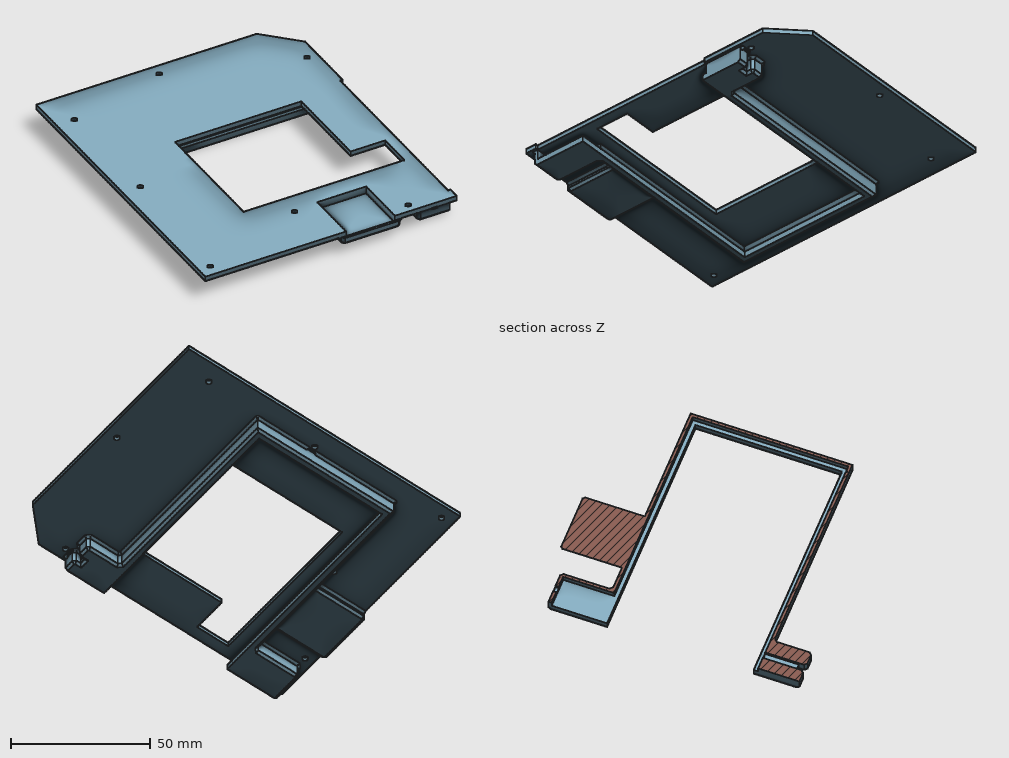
import cadquery as cq

plate_length = 123.9
plate_width = 103.5
sheet = 2.0
plate_corner = 12.7
notch_depth = 1.0
hole_diameter = 2.1
front_screw_x = 63.2
left_screw_y = 99.3
hole_centres = [
    (4.7, 48.0),
    (14.9, 7.4),
    (21.7, left_screw_y),
    (front_screw_x, 7.4),
    (103.9, 48.0),
    (119.0, 4.7),
    (120.3, 85.6),
]

window_left = 44.8
window_right = 95.1
window_front = 32.0
window_step_x = 81.0
window_step_y = 84.0
window_back = 98.2

bevel = 1.0
shell_height = 8.6
shell_back = plate_width - notch_depth
shell_wall = 1.4
main_left = 38.9
main_right = 101.0
main_front = 9.5
wing_left = 24.2
wing_right = 120.7
wing_front = 89.5
floor_rim = 3.0
floor_thickness = 2.5

recess_front = 95.3
recess_back = 97.6
recess_depth = 3.0
slit_top = 4.2
slit_height = 0.9

relief_width = 4.2
relief_height = 0.6

pocket_left = 102.8
pocket_front = 58.0
pocket_back = 78.1
pocket_depth = 3.0
box_height = 5.0
box_margin = 2.0
box_right = 124.9


def block(x_min, x_max, y_min, y_max, z_min, z_max):
    """Rectangular block given by its limits."""
    size = (x_max - x_min, y_max - y_min, z_max - z_min)
    return cq.Workplane("XY").box(*size, centered=False).translate((x_min, y_min, z_min))


def polygon(points):
    """Closed outline in the XY plane."""
    return cq.Workplane("XY").polyline(points).close()


def flare(points):
    """Bevelled skirt that widens the outline where it meets the plate."""
    skirt = polygon(points).extrude(bevel, taper=-45)
    return skirt.translate((0, 0, -sheet - bevel))


def raised_outline(points, height):
    """Outline extruded down from the plate, with its lower edges bevelled."""
    body = polygon(points).extrude(sheet - height).translate((0, 0, -sheet))
    return body.faces("<Z").chamfer(bevel)


def make_plate():
    outline = [
        (0, 0),
        (plate_length, 0),
        (plate_length, plate_width),
        (wing_right - shell_wall, plate_width),
        (wing_right - shell_wall, shell_back),
        (main_left + shell_wall, shell_back),
        (main_left + shell_wall, plate_width),
        (plate_corner, plate_width),
        (0, plate_width - plate_corner),
    ]
    window = [
        (window_left, window_front),
        (window_right, window_front),
        (window_right, window_back),
        (window_step_x, window_back),
        (window_step_x, window_step_y),
        (window_left, window_step_y),
    ]
    plate = polygon(outline).extrude(-sheet)
    plate = plate.cut(polygon(window).extrude(-sheet))
    holes = cq.Workplane("XY").pushPoints(hole_centres).circle(hole_diameter / 2).extrude(-sheet)
    return plate.cut(holes)


def shell_outline():
    """Plan of the shell, run past its back face so that the back can be trimmed square."""
    overrun = shell_back + 2 * bevel
    return [
        (main_left, main_front),
        (main_right, main_front),
        (main_right, wing_front - bevel),
        (main_right + bevel, wing_front),
        (wing_right - bevel, wing_front),
        (wing_right, wing_front + bevel),
        (wing_right, overrun),
        (wing_left, overrun),
        (wing_left, recess_back + bevel),
        (wing_left + bevel, recess_back),
        (wing_left + recess_depth, recess_back),
        (wing_left + recess_depth, recess_front),
        (wing_left + bevel, recess_front),
        (wing_left, recess_front - bevel),
        (wing_left, wing_front + bevel),
        (wing_left + bevel, wing_front),
        (main_left - bevel, wing_front),
        (main_left, wing_front - bevel),
    ]


def relief(plane, centre, start, end):
    """Gap across the flare with sides that lean in toward the plate."""
    half = relief_width / 2
    half_top = half - relief_height
    bottom = -sheet - bevel
    top = bottom + relief_height
    points = [
        (centre - half, bottom),
        (centre + half, bottom),
        (centre + half_top, top),
        (centre - half_top, top),
    ]
    return cq.Workplane(plane).workplane(offset=start).polyline(points).close().extrude(end - start)


def make_shell():
    outline = shell_outline()
    skirt = flare(outline)
    skirt = skirt.cut(relief("XZ", front_screw_x, -main_front, bevel - main_front))
    skirt = skirt.cut(relief("YZ", left_screw_y, wing_left - bevel, wing_left))
    shell = raised_outline(outline, shell_height).union(skirt)
    shell = shell.intersect(block(0, plate_length, 0, shell_back, -shell_height, -sheet))

    inner_floor = floor_thickness - shell_height
    inner_left = main_left + shell_wall
    inner_right = wing_right - shell_wall
    main_cavity = block(
        inner_left, main_right - shell_wall, main_front + shell_wall, shell_back, inner_floor, -sheet
    )
    wing_cavity = block(
        inner_left, inner_right, wing_front + shell_wall, shell_back, inner_floor, -sheet
    )
    floor_opening = block(
        main_left + floor_rim,
        main_right - floor_rim,
        main_front + floor_rim,
        shell_back,
        -shell_height,
        inner_floor,
    )
    slit = block(
        wing_left, wing_right, recess_front, recess_back, -slit_top - slit_height, -slit_top
    )
    return shell.cut(main_cavity).cut(wing_cavity).cut(floor_opening).cut(slit)


def make_pocket_box():
    box_left = main_right - shell_wall
    front = pocket_front - box_margin
    back = pocket_back + box_margin
    points = [
        (box_left, front),
        (box_right - bevel, front),
        (box_right, front + bevel),
        (box_right, back - bevel),
        (box_right - bevel, back),
        (box_left, back),
    ]
    under_plate = block(box_left, plate_length, 0, plate_width, -box_height, -sheet)
    return raised_outline(points, box_height).union(flare(points).intersect(under_plate))


pocket = block(pocket_left, plate_length, pocket_front, pocket_back, -pocket_depth, 0)
result = make_plate().union(make_shell()).union(make_pocket_box()).cut(pocket)